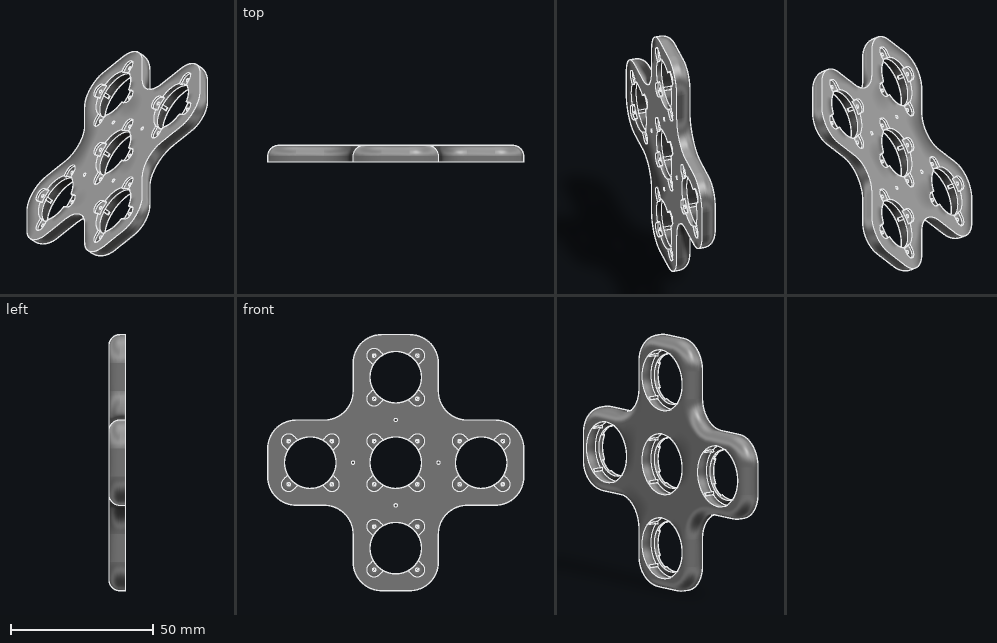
import cadquery as cq
import math

span = 90.0
cell = span / 3
thickness = 5.9
corner_radius = 10.1
straight_edge = 2.0
edge_radius = thickness - straight_edge

bore_diameter = 18.0
rear_bore_diameter = 21.6
lip_thickness = 1.8

screw_pitch = 15.2
screw_reach = screw_pitch / math.sqrt(2)
seat_radius = 2.5
seat_depth = 0.8
seats_per_cell = 4
first_seat_angle = 45

screw_diameter = 1.2
screw_depth = 5.0

cell_centers = [(0, 0), (cell, 0), (-cell, 0), (0, cell), (0, -cell)]


def from_front(depth):
    """XZ workplane at the given depth behind the front face; negative extrusions go to the back (+Y)."""
    return cq.Workplane("XZ", origin=(0, depth - thickness / 2, 0))


def make_plate():
    """Plus-shaped plate with rounded corners and a rounded rim at the back."""
    arm_x = from_front(0).rect(span, cell).extrude(-thickness)
    arm_z = from_front(0).rect(cell, span).extrude(-thickness)
    plate = arm_x.union(arm_z).edges("|Y").fillet(corner_radius)
    return plate.faces(">Y").edges().fillet(edge_radius)


def make_opening():
    """Stepped bore through the whole plate."""
    bore = from_front(0).circle(bore_diameter / 2).extrude(-thickness)
    rear_depth = thickness - lip_thickness
    rear_bore = from_front(lip_thickness).circle(rear_bore_diameter / 2).extrude(-rear_depth)
    return bore.union(rear_bore)


def make_screw_hole(reach):
    """Blind hole from the front, at a distance along X from the centre."""
    return from_front(0).center(reach, 0).circle(screw_diameter / 2).extrude(-screw_depth)


def make_seat():
    """Recess running along X from the opening to one screw, with its screw hole."""
    recess = (
        from_front(0)
        .center(screw_reach / 2, 0)
        .slot2D(screw_reach + 2 * seat_radius, 2 * seat_radius)
        .extrude(-seat_depth)
    )
    return recess.union(make_screw_hole(screw_reach))


def turn(body, angle):
    """Turn a body about the plate's Y axis."""
    return body.rotate((0, 0, 0), (0, 1, 0), angle)


def make_cell_cutter():
    """Everything removed from one cell: the opening and its seats."""
    cutter = make_opening()
    for index in range(seats_per_cell):
        angle = first_seat_angle + index * 360 / seats_per_cell
        cutter = cutter.union(turn(make_seat(), angle))
    return cutter


result = make_plate()

cell_cutter = make_cell_cutter()
for x, z in cell_centers:
    result = result.cut(cell_cutter.translate((x, 0, z)))

for angle in (0, 90, 180, 270):
    result = result.cut(turn(make_screw_hole(cell / 2), angle))